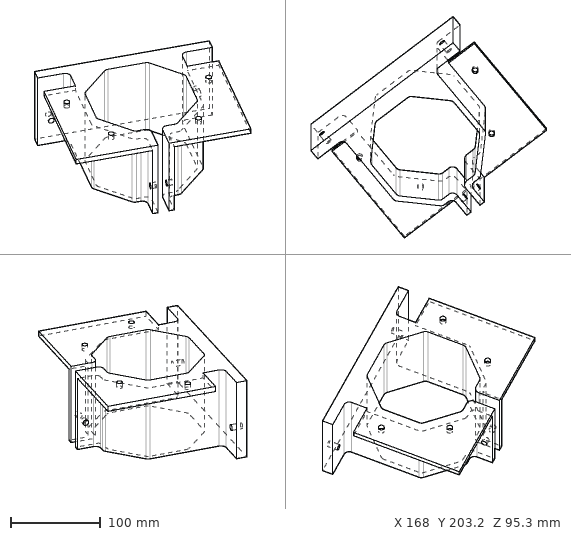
import cadquery as cq
import math

length = 168.0
width = 203.2
height = 95.3

plate_thickness = 12.5
wall = 6.3
flange_thickness = 6.3
corner_radius = 6.3

bore_sides = 8
half_sector = 180 / bore_sides
bore_half = 58.7
bore_center_x = plate_thickness + wall + bore_half
body_half = bore_half + wall

slit_width = 12.5
lug_span = slit_width + 2 * wall

flange_start_x = 38.0
hole_diameter = 6.5
cross_hole_z = 31.7
plate_hole_y = 85.8
lug_hole_x = 157.9
flange_holes = [(63.5, 82.5), (133.0, 50.8)]


def block(x_start, x_end, y_span, z_start, z_end):
    """Box centered on Y = 0."""
    return (
        cq.Workplane("XY")
        .box(x_end - x_start, y_span, z_end - z_start, centered=(False, True, False))
        .translate((x_start, 0, z_start))
    )


def octagon(half_across_flats):
    """Full-height octagonal prism around the bore axis with flats facing X and Y."""
    across_corners = 2 * half_across_flats / math.cos(math.radians(half_sector))
    return (
        cq.Workplane("XY")
        .polygon(bore_sides, across_corners)
        .extrude(height)
        .rotate((0, 0, 0), (0, 0, 1), half_sector)
        .translate((bore_center_x, 0, 0))
    )


def round_at(solid, points):
    """Round the vertical edges that pass through the given XY points."""
    for x, y in points:
        edge = cq.selectors.NearestToPointSelector((x, y, height / 2))
        solid = solid.edges("|Z").edges(edge).fillet(corner_radius)
    return solid


def make_outer_body():
    """Back plate, bore housing and the still undivided clamp lug."""
    plate = block(0, plate_thickness, width, 0, height)
    bridge = block(0, bore_center_x, 2 * body_half, 0, height)
    lug = block(bore_center_x, length, lug_span, 0, height)
    body = plate.union(bridge).union(octagon(body_half)).union(lug)

    half_flat = body_half * math.tan(math.radians(half_sector))
    outer_x = bore_center_x + body_half
    rounded = []
    for side in (-1, 1):
        rounded += [
            (plate_thickness, side * body_half),
            (bore_center_x + half_flat, side * body_half),
            (outer_x, side * half_flat),
            (outer_x, side * lug_span / 2),
        ]
    return round_at(body, rounded)


def make_flange():
    return block(flange_start_x, length, width, height - flange_thickness, height)


def cut_bore_and_slit(solid):
    bore = octagon(bore_half).edges("|Z").fillet(corner_radius)
    slit = block(bore_center_x, length, slit_width, 0, height)
    solid = solid.cut(bore).cut(slit)
    bore_end_x = bore_center_x + bore_half
    return round_at(solid, [(bore_end_x, side * slit_width / 2) for side in (-1, 1)])


def drill(plane, points, depth):
    return cq.Workplane(plane).pushPoints(points).circle(hole_diameter / 2).extrude(depth)


result = cut_bore_and_slit(make_outer_body().union(make_flange()))

flange_points = [(x, side * y) for x, y in flange_holes for side in (-1, 1)]
flange_drill = drill("XY", flange_points, flange_thickness)
result = result.cut(flange_drill.translate((0, 0, height - flange_thickness)))

plate_points = [(side * plate_hole_y, cross_hole_z) for side in (-1, 1)]
result = result.cut(drill("YZ", plate_points, plate_thickness))

lug_drill = drill("XZ", [(lug_hole_x, cross_hole_z)], lug_span)
result = result.cut(lug_drill.translate((0, lug_span / 2, 0)))